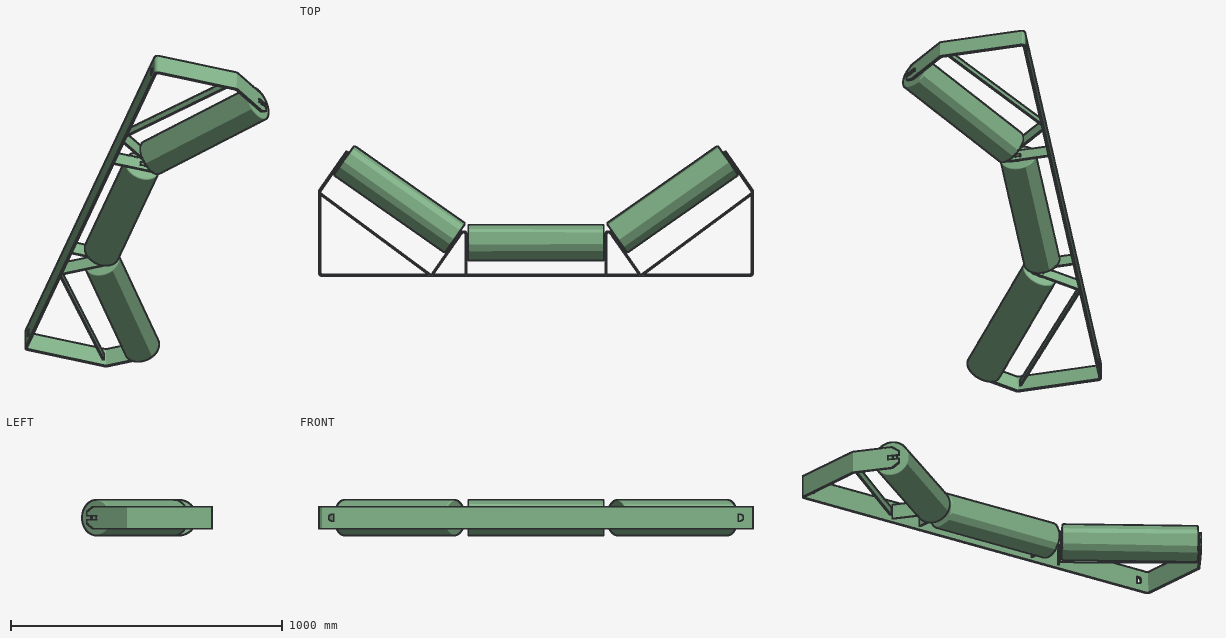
import cadquery as cq
import math


frame_width = 1600.0
frame_thickness = 7.0
frame_height = 82.0
bracket_thickness = 5.0
bracket_height = 55.0
strut_thickness = 5.0
strut_height = 30.0
bend_inner_radius = 7.0

trough_angle = math.radians(35.0)
roller_diameter = 133.0
roller_length = 500.0
roller_edge_radius = 5.0
side_roller_top = 479.92
side_roller_x = 502.5
centre_axis_y = 124.0

hub_diameter = 46.0
hub_length = 3.0
end_gap = 5.0
shaft_diameter = 20.0
shaft_flat_width = 14.0
shaft_seat_depth = 10.0

arm_above_axis = 33.0
arm_corner_length = 26.0
arm_corner_height = 18.0

strut_wall_y = 303.0
strut_base_x = 393.0

mounting_hole_height = 25.0
mounting_hole_width = 19.0
mounting_hole_outer_x = 764.0

roller_radius = roller_diameter / 2
half_roller = roller_length / 2
half_width = frame_width / 2
half_frame_thickness = frame_thickness / 2
end_to_arm = end_gap + half_frame_thickness
end_to_bracket = end_gap + bracket_thickness / 2

outward = cq.Vector(-math.cos(trough_angle), math.sin(trough_angle), 0)
upward = cq.Vector(math.sin(trough_angle), math.cos(trough_angle), 0)
z_axis = cq.Vector(0, 0, 1)
x_axis = cq.Vector(1, 0, 0)
y_axis = cq.Vector(0, 1, 0)
edge_arc_centre = outward * (half_roller - roller_edge_radius) + upward * (roller_radius - roller_edge_radius)
side_roller_y = side_roller_top - roller_edge_radius - edge_arc_centre.y
side_roller_centre = cq.Vector(-side_roller_x, side_roller_y, 0)
upper_end = side_roller_centre + outward * half_roller
lower_end = side_roller_centre - outward * half_roller
centre_roller_centre = cq.Vector(0, centre_axis_y, 0)


def along_to_x(start, direction, x):
    """Point where the line through start along direction reaches the given X."""
    return start + direction * ((x - start.x) / direction.x)


def along_to_y(start, direction, y):
    """Point where the line through start along direction reaches the given Y."""
    return start + direction * ((y - start.y) / direction.y)


def mirrored_point(point):
    """Matching point on the other side of X = 0."""
    return cq.Vector(-point.x, point.y, point.z)


def bent_strip(points, thickness, height):
    """Flat strip whose middle line follows the points, with every corner bent round."""
    bend_mid_radius = bend_inner_radius + thickness / 2
    first_direction = (points[1] - points[0]).normalized()
    path = cq.Workplane("XY").moveTo(points[0].x, points[0].y)
    for before, corner, after in zip(points, points[1:], points[2:]):
        incoming = (corner - before).normalized()
        outgoing = (after - corner).normalized()
        turn = incoming.getAngle(outgoing)
        setback = bend_mid_radius * math.tan(turn / 2)
        to_centre = (outgoing - incoming).normalized()
        apex_distance = bend_mid_radius / math.cos(turn / 2) - bend_mid_radius
        bend_start = corner - incoming * setback
        bend_middle = corner + to_centre * apex_distance
        bend_end = corner + outgoing * setback
        path = path.lineTo(bend_start.x, bend_start.y)
        path = path.threePointArc((bend_middle.x, bend_middle.y), (bend_end.x, bend_end.y))
    path = path.lineTo(points[-1].x, points[-1].y)
    section = cq.Workplane(cq.Plane(points[0], z_axis, first_direction)).rect(height, thickness)
    return section.sweep(path)


def shaft_slot(strip_middle, slot_direction, axis_direction, length, reach):
    """Cutter for a shaft slot, open along slot_direction, cutting to the reach on each side."""
    bottom = strip_middle - slot_direction * shaft_seat_depth
    plane = cq.Plane(bottom + slot_direction * (length / 2), z_axis, axis_direction)
    return cq.Workplane(plane).rect(shaft_flat_width, length).extrude(reach, both=True)


def cylinder(plane, diameter, start, end):
    """Cylinder along the plane's normal, from the start to the end distance."""
    return cq.Workplane(plane).workplane(offset=start).circle(diameter / 2).extrude(end - start)


def make_roller(centre, axis, start_thickness, end_thickness):
    """Roller with end hubs and flatted shaft ends that pass through strips of the given thickness."""
    plane = cq.Plane(centre, z_axis, axis)
    shell = cylinder(plane, roller_diameter, -half_roller, half_roller)
    shell = shell.edges().fillet(roller_edge_radius)
    half_hubs = half_roller + hub_length
    hubs = cylinder(plane, hub_diameter, -half_hubs, half_hubs)
    shaft_start = -(half_roller + end_gap + start_thickness)
    shaft_end = half_roller + end_gap + end_thickness
    shaft = cylinder(plane, shaft_diameter, shaft_start, shaft_end)
    flats_length = 2 * max(-shaft_start, shaft_end)
    flats = cq.Workplane(plane).box(shaft_flat_width, shaft_diameter, flats_length)
    return shell.union(hubs).union(shaft.intersect(flats))


def mounting_hole():
    """Cutter for the left D-shaped hole: round outer end, straight inner side."""
    radius = mounting_hole_height / 2
    left = -mounting_hole_outer_x
    right = left + mounting_hole_width
    return (
        cq.Workplane("XZ")
        .moveTo(right, -radius)
        .lineTo(left + radius, -radius)
        .threePointArc((left, 0), (left + radius, radius))
        .lineTo(right, radius)
        .close()
        .extrude(frame_thickness, both=True)
    )


def arm_corners(arm_tip):
    """Cutter for the two slanted corners at the free end of the left arm."""
    plane = cq.Plane(arm_tip, upward, outward)
    half_height = frame_height / 2
    corner = (
        cq.Workplane(plane)
        .moveTo(0, half_height)
        .lineTo(-arm_corner_length, half_height)
        .lineTo(0, half_height - arm_corner_height)
        .close()
        .extrude(frame_thickness, both=True)
    )
    return corner.union(corner.mirror("XY"))


def make_frame():
    """Base strip with both ends bent up into walls and again into the outer roller arms."""
    arm_axis_point = upper_end + outward * end_to_arm
    arm_tip = arm_axis_point + upward * arm_above_axis
    wall_x = -(half_width - half_frame_thickness)
    wall_top = along_to_x(arm_tip, upward, wall_x)
    left_points = [arm_tip, wall_top, cq.Vector(wall_x, half_frame_thickness, 0)]
    right_points = [mirrored_point(point) for point in reversed(left_points)]
    frame = bent_strip(left_points + right_points, frame_thickness, frame_height)
    slot_length = 2 * (shaft_seat_depth + arm_above_axis)
    cuts = shaft_slot(arm_axis_point, upward, outward, slot_length, frame_thickness)
    cuts = cuts.union(arm_corners(arm_tip)).union(mounting_hole())
    return frame.cut(cuts).cut(cuts.mirror("YZ"))


def make_bracket():
    """Left inner bracket: a strip folded over an apex, slotted for two shafts, standing on the base."""
    leg_axis_point = cq.Vector(-(half_roller + end_to_bracket), centre_axis_y, 0)
    slope_axis_point = lower_end - outward * end_to_bracket
    apex = along_to_x(slope_axis_point, upward, leg_axis_point.x)
    leg_foot = cq.Vector(leg_axis_point.x, 0, 0)
    slope_foot = along_to_y(slope_axis_point, upward, 0)
    bracket = bent_strip([slope_foot, apex, leg_foot], bracket_thickness, bracket_height)
    base = cq.Workplane("XY").box(frame_width, 2 * frame_thickness, frame_height)
    slot_length = apex.y - centre_axis_y
    slot_reach = bend_inner_radius + bracket_thickness
    bracket = bracket.cut(shaft_slot(leg_axis_point, y_axis, x_axis, slot_length, slot_reach))
    bracket = bracket.cut(shaft_slot(slope_axis_point, upward, outward, slot_length, slot_reach))
    return bracket.cut(base)


def make_strut():
    """Left diagonal flat bar from the wall down to the base, mitred to both."""
    wall_inside = -(half_width - frame_thickness)
    wall_end = cq.Vector(wall_inside, strut_wall_y, 0)
    base_end = cq.Vector(-strut_base_x, frame_thickness, 0)
    direction = (base_end - wall_end).normalized()
    half_offset = z_axis.cross(direction) * (strut_thickness / 2)
    outline = []
    for side in (wall_end + half_offset, wall_end - half_offset):
        outline.append(along_to_x(side, direction, wall_inside))
        outline.append(along_to_y(side, direction, frame_thickness))
    upper_start, upper_foot, lower_start, lower_foot = [(point.x, point.y) for point in outline]
    corners = [upper_start, upper_foot, lower_foot, lower_start]
    return cq.Workplane("XY").polyline(corners).close().extrude(strut_height / 2, both=True)


frame = make_frame()
centre_roller = make_roller(centre_roller_centre, x_axis, bracket_thickness, bracket_thickness)
left_roller = make_roller(side_roller_centre, outward, bracket_thickness, frame_thickness)
left_parts = [left_roller, make_bracket(), make_strut()]

bodies = [frame.val(), centre_roller.val()]
for left_part in left_parts:
    bodies.append(left_part.val())
    bodies.append(left_part.mirror("YZ").val())

result = cq.Compound.makeCompound(bodies)